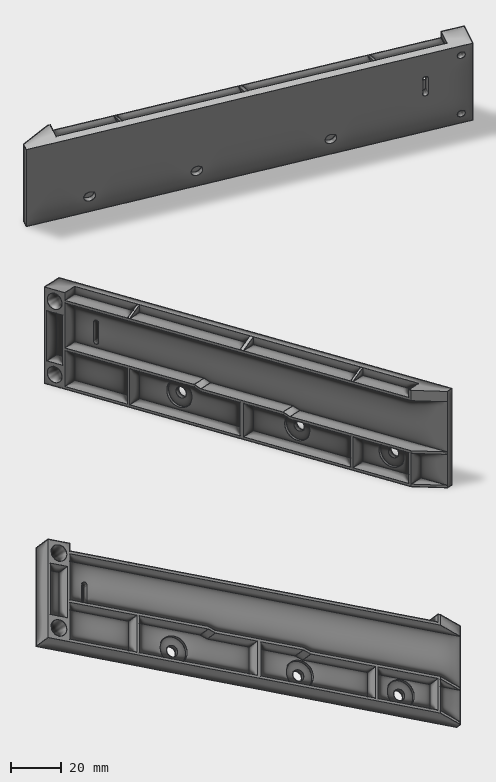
import cadquery as cq

width = 10.5
length = 187.0
height = 42.0
plate = 3.4
wall = 1.1
floor_x = width - plate

block_length = 9.7
block_y = length - block_length
block_pocket_z = (10.1, 32.0)
screw_y = 182.1
screw_edge_distance = 5.0
screw_bore = 3.4
screw_head = 7.0
screw_head_depth = floor_x

tip_wall_y = 12.5

upper_rib_bottom = height - 4.5
upper_rib_top = upper_rib_bottom + wall
lower_rib_top = 18.0
jog_drop = 1.1
jog_spans = [(115.8, 112.5), (73.5, 70.1)]

cross_rib_ys = [147.0, 93.1, 40.8]
cross_rib_widths = [wall, 1.7, wall]
plate_hole_ys = [127.5, 71.5, 26.5]
plate_hole_z = 8.2
plate_hole_diameter = 4.9
recess_diameter = 12.0
recess_depth = 1.3
slot_y = 167.2
slot_z = 24.7
slot_length = 10.5
slot_width = 2.2


def box(x0, x1, y0, y1, z0, z1):
    return cq.Workplane("XY").box(x1 - x0, y1 - y0, z1 - z0, centered=False).translate((x0, y0, z0))


def cylinder_x(diameter, x0, x1, y, z):
    """Cylinder along X from x0 to x1."""
    return cq.Workplane("YZ", origin=(x0, y, z)).circle(diameter / 2).extrude(x1 - x0)


def lower_rib():
    """Long rib whose level jogs down twice toward the tip."""
    level = lower_rib_top
    top_edge = [(block_y, level)]
    for start, end in jog_spans:
        top_edge.append((start, level))
        level -= jog_drop
        top_edge.append((end, level))
    top_edge.append((0, level))
    bottom_edge = [(y, z - wall) for y, z in reversed(top_edge)]
    return cq.Workplane("YZ").polyline(top_edge + bottom_edge).close().extrude(floor_x)


def lower_rib_underside(y):
    """Underside level of the lower rib at a place outside its jogs."""
    jogs_passed = sum(1 for _, end in jog_spans if y < end)
    return lower_rib_top - wall - jogs_passed * jog_drop


def cross_rib(y, rib_width):
    """Rib between the bottom wall and the lower rib, with a triangular gusset above the upper rib."""
    y0 = y - rib_width / 2
    rib = box(0, floor_x, y0, y0 + rib_width, 0, lower_rib_underside(y))
    gusset = (
        cq.Workplane("XZ", origin=(0, y0 + rib_width, 0))
        .polyline([(0, upper_rib_top), (floor_x, upper_rib_top), (floor_x, height)])
        .close()
        .extrude(rib_width)
    )
    return rib.union(gusset)


def screw_hole(z):
    """Through bore with a conical head seat opening on the -X face."""
    seat = (
        cq.Workplane("YZ", origin=(0, screw_y, z))
        .circle(screw_head / 2)
        .workplane(offset=screw_head_depth)
        .circle(screw_bore / 2)
        .loft()
    )
    return seat.union(cylinder_x(screw_bore, 0, width, screw_y, z))


body = box(floor_x, width, 0, length, 0, height)
body = body.union(box(0, floor_x, block_y, length, 0, height))
body = body.union(box(0, floor_x, 0, block_y, 0, wall))
body = body.union(box(0, floor_x, tip_wall_y, block_y, upper_rib_bottom, upper_rib_top))
body = body.union(lower_rib())

for rib_y, rib_width in zip(cross_rib_ys, cross_rib_widths):
    body = body.union(cross_rib(rib_y, rib_width))
body = body.union(box(0, floor_x, tip_wall_y, tip_wall_y + wall, 0, lower_rib_underside(tip_wall_y)))

body = body.union(box(0, floor_x, 0, tip_wall_y + wall, upper_rib_bottom, height))

tip_cut = (
    cq.Workplane("XY")
    .polyline([(0, tip_wall_y), (floor_x, 0), (0, 0)])
    .close()
    .extrude(height)
)
body = body.cut(tip_cut)

body = body.cut(box(0, floor_x, block_y + wall, length - wall, *block_pocket_z))
for screw_z in (screw_edge_distance, height - screw_edge_distance):
    body = body.cut(screw_hole(screw_z))

for hole_y in plate_hole_ys:
    body = body.cut(cylinder_x(plate_hole_diameter, floor_x, width, hole_y, plate_hole_z))
    body = body.cut(cylinder_x(recess_diameter, floor_x, floor_x + recess_depth, hole_y, plate_hole_z))

slot = (
    cq.Workplane("YZ", origin=(floor_x, slot_y, slot_z))
    .slot2D(slot_length, slot_width, 90)
    .extrude(plate)
)
result = body.cut(slot)